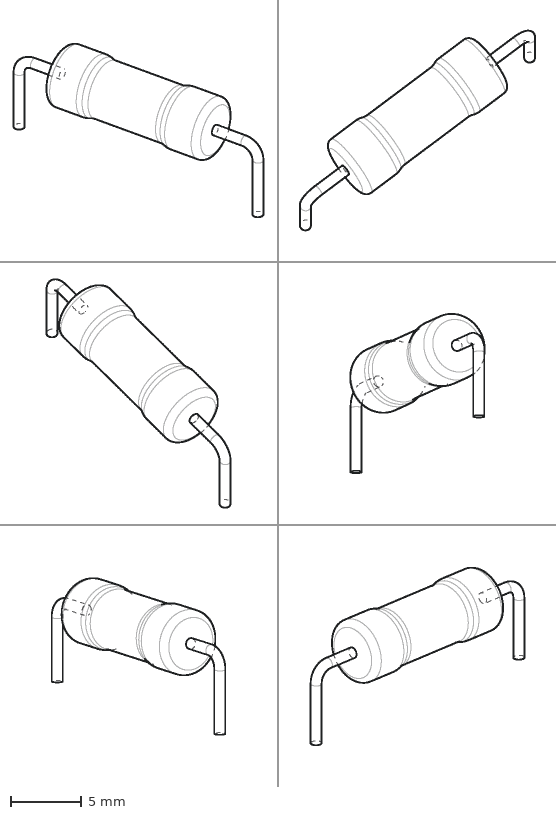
import cadquery as cq

body_length = 13.0
cap_diameter = 4.8
waist_diameter = 4.44
end_fillet = 0.49
cap_length = 2.75
step_length = 0.89

lead_diameter = 0.8
lead_span = 21.12
bend_radius = 1.2
total_height = 8.3

cap_radius = cap_diameter / 2
waist_radius = waist_diameter / 2
lead_x = (lead_span - lead_diameter) / 2
half_body = body_length / 2
lead_bottom = cap_radius - total_height


def make_body():
    """Revolve the full body profile about X."""
    step_start = half_body - cap_length
    step_middle = step_start - step_length / 2
    step_end = step_start - step_length
    middle_radius = (cap_radius + waist_radius) / 2
    profile = (
        cq.Workplane("XY")
        .moveTo(-half_body, 0)
        .lineTo(half_body, 0)
        .lineTo(half_body, cap_radius - end_fillet)
        .tangentArcPoint((half_body - end_fillet, cap_radius), relative=False)
        .lineTo(step_start, cap_radius)
        .tangentArcPoint((step_middle, middle_radius), relative=False)
        .tangentArcPoint((step_end, waist_radius), relative=False)
        .lineTo(-step_end, waist_radius)
        .tangentArcPoint((-step_middle, middle_radius), relative=False)
        .tangentArcPoint((-step_start, cap_radius), relative=False)
        .lineTo(-half_body + end_fillet, cap_radius)
        .tangentArcPoint((-half_body, cap_radius - end_fillet), relative=False)
        .close()
    )
    return profile.revolve(360, (0, 0, 0), (1, 0, 0))


def make_lead(side):
    """Sweep one lead from the body end face outward and down; side is -1 or 1."""
    bend_start = lead_x - bend_radius
    path = (
        cq.Workplane("XZ")
        .moveTo(side * half_body, 0)
        .lineTo(side * bend_start, 0)
        .tangentArcPoint((side * lead_x, -bend_radius), relative=False)
        .lineTo(side * lead_x, lead_bottom)
    )
    section = cq.Workplane("YZ", origin=(side * half_body, 0, 0)).circle(lead_diameter / 2)
    return section.sweep(path)


body = make_body()
leads = [make_lead(side) for side in (-1, 1)]

result = cq.Compound.makeCompound([body.val(), *[lead.val() for lead in leads]])